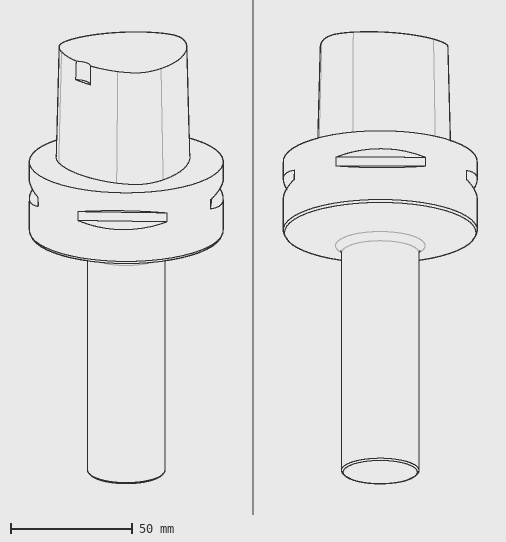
import cadquery as cq
import math

total_length = 183.0
taper_length = 48.1
bottom_z = taper_length - total_length

flange_diameter = 80.0
flange_radius = flange_diameter / 2
flange_height = 29.8
rim_chamfer_width = 0.5
rim_chamfer_height = 1.1
shank_diameter = 32.0
shank_radius = shank_diameter / 2
cone_angle = 15.0
neck_fillet = 3.3
shank_chamfer = 0.7

polygon_diameter = 55.0
eccentricity = 2.2
taper_ratio = 1 / 20
lobe_count = 3
side_half_angle = 26.0
span_points = 9

keyway_width = 10.0
keyway_depth = 8.0
keyway_radius = 6.5
keyway_inner_y = -22.3

groove_count = 4
groove_first_angle = 45.0
groove_mid_z = -11.9
groove_floor_height = 3.8
groove_mouth_height = 8.2
groove_floor_radius = 35.5
groove_length = flange_diameter


def make_body():
    """Revolve the flange, its conical underside and the shank."""
    chamfer_z = -flange_height - rim_chamfer_height
    cone_radius = flange_radius - rim_chamfer_width
    cone_drop = (cone_radius - shank_radius) * math.tan(math.radians(cone_angle))
    neck_z = chamfer_z - cone_drop

    turn = math.radians(90 - cone_angle)
    tangent_length = neck_fillet * math.tan(turn / 2)
    center_r = shank_radius + neck_fillet
    center_z = neck_z - tangent_length

    def fillet_point(angle):
        return (
            center_r - neck_fillet * math.cos(angle),
            center_z + neck_fillet * math.sin(angle),
        )

    return (
        cq.Workplane("XZ")
        .moveTo(0, 0)
        .lineTo(flange_radius, 0)
        .lineTo(flange_radius, -flange_height)
        .lineTo(cone_radius, chamfer_z)
        .lineTo(*fillet_point(turn))
        .threePointArc(fillet_point(turn / 2), fillet_point(0))
        .lineTo(shank_radius, bottom_z + shank_chamfer)
        .lineTo(shank_radius - shank_chamfer, bottom_z)
        .lineTo(0, bottom_z)
        .close()
        .revolve(360, (0, 0, 0), (0, 1, 0))
    )


def polygon_point(diameter, normal_angle, z):
    """Point of the lobed outline whose outward normal has the given angle from -Y."""
    radius = diameter / 2
    along = (
        radius * math.cos(normal_angle)
        - 2 * eccentricity * math.cos(2 * normal_angle)
        + eccentricity * math.cos(4 * normal_angle)
    )
    across = (
        radius * math.sin(normal_angle)
        + 2 * eccentricity * math.sin(2 * normal_angle)
        + eccentricity * math.sin(4 * normal_angle)
    )
    return cq.Vector(across, -along, z)


def polygon_wire(diameter, z):
    """Closed outline of smooth spans, alternately a flatter side and a lobe."""
    pitch = 2 * math.pi / lobe_count
    half_side = math.radians(side_half_angle)
    spans = []
    for index in range(lobe_count):
        side_center = index * pitch
        spans.append((side_center - half_side, side_center + half_side))
        spans.append((side_center + half_side, side_center + pitch - half_side))

    edges = []
    for start, end in spans:
        step = (end - start) / (span_points - 1)
        angles = [start + step * i for i in range(span_points)]
        points = [polygon_point(diameter, angle, z) for angle in angles]
        tangents = [cq.Vector(math.cos(a), math.sin(a), 0) for a in (angles[0], angles[-1])]
        edges.append(cq.Edge.makeSpline(points, tangents=tangents))
    return cq.Wire.assembleEdges(edges)


def make_taper():
    """Loft the lobed outline from the flange to the smaller top face."""
    top_diameter = polygon_diameter - taper_ratio * taper_length
    base = polygon_wire(polygon_diameter, 0)
    top = polygon_wire(top_diameter, taper_length)
    return cq.Workplane(cq.Solid.makeLoft([base, top], True))


def make_keyway():
    """Round-backed notch open at the top of the taper."""
    back = (
        cq.Workplane("XY", origin=(0, keyway_inner_y - keyway_radius, taper_length - keyway_depth))
        .circle(keyway_radius)
        .extrude(keyway_depth)
    )
    width_limit = cq.Workplane("XY").box(keyway_width, polygon_diameter * 2, total_length)
    return back.intersect(width_limit)


def make_groove(angle):
    """Straight groove with a flat floor and flared walls, facing the given angle."""
    mouth_half = groove_mouth_height / 2
    floor_half = groove_floor_height / 2
    return (
        cq.Workplane("XZ", origin=(0, groove_length / 2, groove_mid_z))
        .polyline(
            [
                (groove_floor_radius, -floor_half),
                (flange_radius, -mouth_half),
                (flange_radius, mouth_half),
                (groove_floor_radius, floor_half),
            ]
        )
        .close()
        .extrude(groove_length)
        .rotate((0, 0, 0), (0, 0, 1), angle)
    )


result = make_body().union(make_taper()).cut(make_keyway())
for groove_index in range(groove_count):
    groove_angle = groove_first_angle + groove_index * 360 / groove_count
    result = result.cut(make_groove(groove_angle))